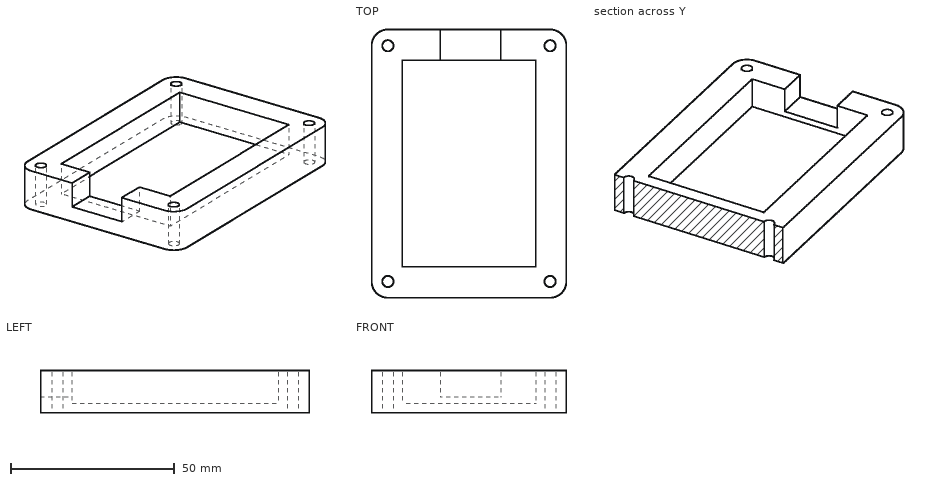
import cadquery as cq

width = 59.5
length = 82.0
height = 13.0
corner_radius = 5.0

hole_diameter = 3.4

wall = 9.4
pocket_depth = 10.0

notch_width = 18.5
notch_depth = 8.0
notch_offset = 0.4


def make_block():
    block = cq.Workplane("XY").box(width, length, height, centered=(True, True, False))
    return block.edges("|Z").fillet(corner_radius)


def make_screw_holes():
    spacing_x = width - 2 * corner_radius
    spacing_y = length - 2 * corner_radius
    return (
        cq.Workplane("XY")
        .rect(spacing_x, spacing_y, forConstruction=True)
        .vertices()
        .circle(hole_diameter / 2)
        .extrude(height)
    )


def make_pocket():
    return (
        cq.Workplane("XY", origin=(0, 0, height))
        .rect(width - 2 * wall, length - 2 * wall)
        .extrude(-pocket_depth)
    )


def make_notch():
    middle_y = (length - wall) / 2
    return (
        cq.Workplane("XY", origin=(notch_offset, middle_y, height))
        .rect(notch_width, wall)
        .extrude(-notch_depth)
    )


result = make_block().cut(make_screw_holes()).cut(make_pocket()).cut(make_notch())